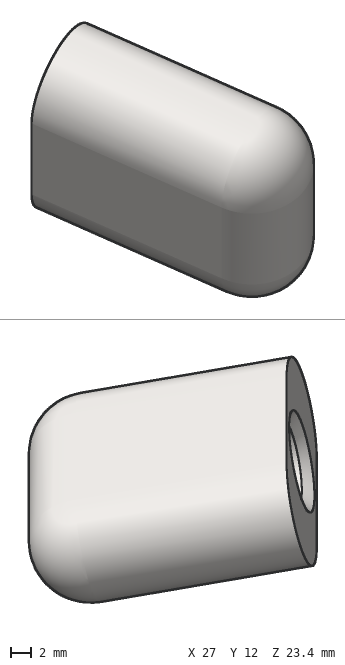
import cadquery as cq

length = 26.98
width = 12.0
height = 23.4
bore_diameter = 8.0
countersink_diameter = 10.0
bore_depth = 15.0

end_radius = width / 2
straight_length = length - end_radius
half_flat = (height - width) / 2
countersink_depth = (countersink_diameter - bore_diameter) / 2


def make_body():
    """Bar of obround section, running along X from the flat face at X = 0."""
    return cq.Workplane("YZ").slot2D(height, width, 90).extrude(straight_length)


def make_nose():
    """Front half of an upright capsule that rounds off the +X end."""
    return (
        cq.Workplane("XZ", origin=(straight_length, 0, 0))
        .moveTo(0, -half_flat - end_radius)
        .radiusArc((end_radius, -half_flat), -end_radius)
        .lineTo(end_radius, half_flat)
        .radiusArc((0, half_flat + end_radius), -end_radius)
        .close()
        .revolve(180, (0, 0, 0), (0, 1, 0))
        .rotate((straight_length, 0, 0), (straight_length, 0, 1), -90)
    )


def make_bore():
    """Blind hole in the flat face with a 45 degree countersunk mouth."""
    bore_radius = bore_diameter / 2
    return (
        cq.Workplane("XY")
        .lineTo(0, countersink_diameter / 2)
        .lineTo(countersink_depth, bore_radius)
        .lineTo(bore_depth, bore_radius)
        .lineTo(bore_depth, 0)
        .close()
        .revolve(360, (0, 0, 0), (1, 0, 0))
    )


result = make_body().union(make_nose()).cut(make_bore())